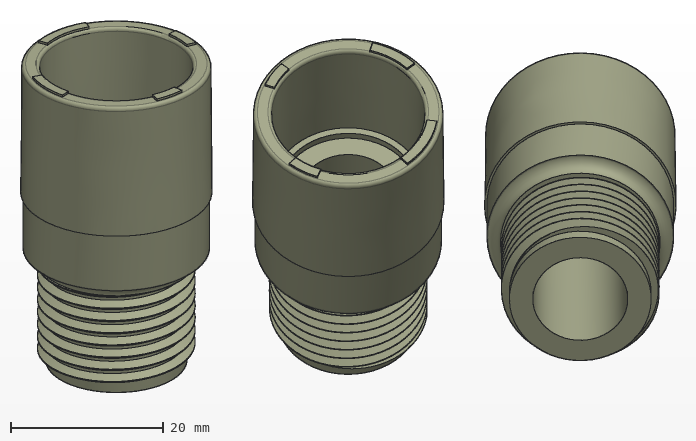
import cadquery as cq
import math

overall_height = 44.3
marking_height = 0.3
rim_z = overall_height - marking_height
nose_length = 1.65
collar_bottom_z = 15.0
body_bottom_z = 16.7
socket_wall_bottom_z = 25.0

body_radius = 24.6 / 2
socket_wall_bottom_radius = 25.2 / 2
socket_wall_top_radius = 24.95 / 2
rim_round = 0.55
collar_radius = 10.5
collar_flare = body_bottom_z - collar_bottom_z

bore_radius = 12.5 / 2
recess_radius = 18.0 / 2
recess_depth = 1.0
socket_depth = 16.0
socket_mouth_radius = 20.15 / 2
socket_floor_radius = 19.85 / 2
mouth_round = 0.5

thread_pitch = 1.8
thread_crest_radius = 20.78 / 2
thread_root_radius = 18.65 / 2
thread_base_width = 1.55
thread_crest_width = 0.15
thread_overlap = 0.15
first_crest_z = 2.35

pad_inner_radius = 10.45
pad_outer_radius = 11.8
pad_overlap = 0.1
marking_pads = [(90, 21), (182, 40), (269, 32), (359, 20)]


def polar(radius, angle):
    return (radius * math.cos(math.radians(angle)), radius * math.sin(math.radians(angle)))


def outer_body():
    """Outside of the fitting, revolved about Z, with the thread core at root diameter."""
    outline = (
        cq.Workplane("XZ")
        .lineTo(thread_root_radius, 0)
        .lineTo(thread_root_radius, collar_bottom_z)
        .lineTo(collar_radius, collar_bottom_z)
        .radiusArc((collar_radius + collar_flare, body_bottom_z), collar_flare)
        .lineTo(body_radius, body_bottom_z)
        .lineTo(body_radius, socket_wall_bottom_z)
        .lineTo(socket_wall_bottom_radius, socket_wall_bottom_z)
        .lineTo(socket_wall_top_radius, rim_z)
        .lineTo(0, rim_z)
        .close()
    )
    return outline.revolve(360, (0, 0, 0), (0, 1, 0)).faces(">Z").edges().fillet(rim_round)


def cavity():
    """Through bore, shallow recess and slightly tapered pipe socket."""
    socket_floor_z = rim_z - socket_depth
    recess_floor_z = socket_floor_z - recess_depth
    outline = (
        cq.Workplane("XZ")
        .lineTo(bore_radius, 0)
        .lineTo(bore_radius, recess_floor_z)
        .lineTo(recess_radius, recess_floor_z)
        .lineTo(recess_radius, socket_floor_z)
        .lineTo(socket_floor_radius, socket_floor_z)
        .lineTo(socket_mouth_radius, rim_z)
        .lineTo(0, rim_z)
        .close()
    )
    return outline.revolve(360, (0, 0, 0), (0, 1, 0))


def thread():
    """Helical ridge, cut off square at the nose and at the collar."""
    start_z = first_crest_z - 2 * thread_pitch
    helix_height = collar_bottom_z + thread_pitch - start_z
    base_radius = thread_root_radius - thread_overlap
    helix = cq.Wire.makeHelix(thread_pitch, helix_height, base_radius, cq.Vector(0, 0, start_z))
    ridge = (
        cq.Workplane("XZ")
        .moveTo(base_radius, start_z - thread_base_width / 2)
        .lineTo(thread_crest_radius, start_z - thread_crest_width / 2)
        .lineTo(thread_crest_radius, start_z + thread_crest_width / 2)
        .lineTo(base_radius, start_z + thread_base_width / 2)
        .close()
        .sweep(cq.Workplane(helix), isFrenet=True)
    )
    threaded_length = (
        cq.Workplane("XY", origin=(0, 0, nose_length))
        .circle(body_radius)
        .extrude(collar_bottom_z - nose_length)
    )
    return ridge.intersect(threaded_length)


def marking_pad(middle, width):
    """Plain raised arc on the rim."""
    start = middle - width / 2
    end = middle + width / 2
    return (
        cq.Workplane("XY", origin=(0, 0, rim_z - pad_overlap))
        .moveTo(*polar(pad_inner_radius, start))
        .lineTo(*polar(pad_outer_radius, start))
        .threePointArc(polar(pad_outer_radius, middle), polar(pad_outer_radius, end))
        .lineTo(*polar(pad_inner_radius, end))
        .threePointArc(polar(pad_inner_radius, middle), polar(pad_inner_radius, start))
        .close()
        .extrude(marking_height + pad_overlap)
    )


fitting = outer_body().cut(cavity())
mouth_edge = cq.selectors.RadiusNthSelector(0)
fitting = fitting.faces(">Z").edges(mouth_edge).fillet(mouth_round)
fitting = fitting.union(thread())
for middle_angle, angular_width in marking_pads:
    fitting = fitting.union(marking_pad(middle_angle, angular_width))

result = fitting